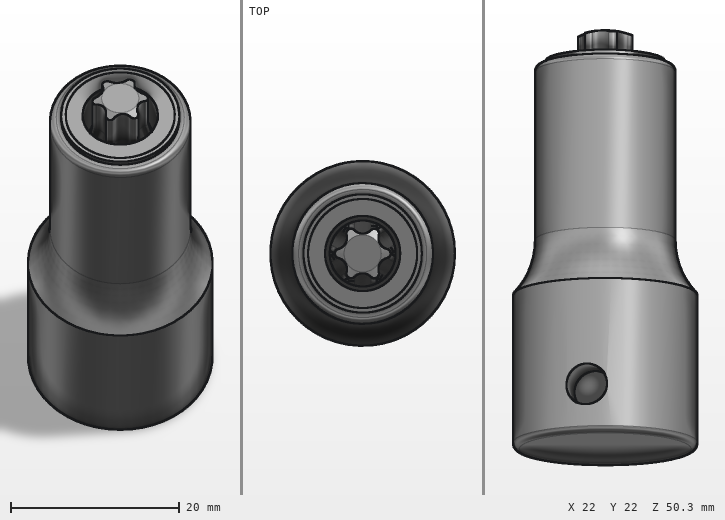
import cadquery as cq
import math

base_radius = 22.0 / 2
slim_radius = 16.75 / 2
base_top = 18.6
neck_top = 25.25
shoulder_height = 46.45
rim_fillet = 0.75

detent_radius = 2.45
detent_height = 5.85
detent_depth = 2 * detent_radius

sleeve_radius = 7.05
sleeve_bottom = neck_top
sleeve_top = 47.05

ring_radius = 6.5
ring_bore_radius = 4.5

total_height = 50.3
shank_radius = 3.9
lobe_count = 6
lobe_tip_radius = 3.3
flute_root_radius = 2.35
lobe_rounding = 0.55
tip_flat_radius = 2.2
tip_chamfer_height = 0.35
lobe_bottom = 45.25
runout_angle = 75.0
runout_slope = math.tan(math.radians(runout_angle))

recess_floor = lobe_bottom - (shank_radius - flute_root_radius) * runout_slope
lobe_flare_bottom = lobe_bottom - (shank_radius - lobe_tip_radius) * runout_slope

half_pitch = math.pi / lobe_count
lobe_center = lobe_tip_radius - lobe_rounding
flute_radius = (
    flute_root_radius**2
    + lobe_center**2
    - lobe_rounding**2
    - 2 * lobe_center * flute_root_radius * math.cos(half_pitch)
) / (2 * (lobe_center * math.cos(half_pitch) + lobe_rounding - flute_root_radius))
flute_center = flute_root_radius + flute_radius


def cylinder(radius, bottom, top):
    """Upright cylinder on the part's axis."""
    return cq.Workplane("XY", origin=(0, 0, bottom)).circle(radius).extrude(top - bottom)


def make_housing():
    neck_rise = neck_top - base_top
    neck_step = base_radius - slim_radius
    neck_radius = (neck_rise**2 + neck_step**2) / (2 * neck_step)
    half_sweep = math.asin(neck_rise / neck_radius) / 2
    neck_mid = (
        slim_radius + neck_radius * (1 - math.cos(half_sweep)),
        neck_top - neck_radius * math.sin(half_sweep),
    )
    body = (
        cq.Workplane("XZ")
        .lineTo(base_radius, 0)
        .lineTo(base_radius, base_top)
        .threePointArc(neck_mid, (slim_radius, neck_top))
        .lineTo(slim_radius, shoulder_height)
        .lineTo(0, shoulder_height)
        .close()
        .revolve(360, (0, 0), (0, 1))
        .faces("<Z or >Z")
        .edges()
        .fillet(rim_fillet)
    )
    bore = cylinder(sleeve_radius, sleeve_bottom, shoulder_height)
    detent_hole = (
        cq.Workplane("XZ", origin=(0, base_radius, 0))
        .center(0, detent_height)
        .circle(detent_radius)
        .extrude(detent_depth)
    )
    return body.cut(bore).cut(detent_hole)


def make_sleeve():
    body = cylinder(sleeve_radius, sleeve_bottom, sleeve_top)
    recess = cylinder(ring_radius, recess_floor, sleeve_top)
    shank_hole = cylinder(shank_radius, sleeve_bottom, recess_floor)
    return body.cut(recess).cut(shank_hole)


def make_ring():
    body = cylinder(ring_radius, recess_floor, sleeve_top)
    return body.cut(cylinder(ring_bore_radius, recess_floor, sleeve_top))


def flute_outline(height, outward):
    """Gap between the middles of two lobes, at one height and shifted outward along +X."""
    lobe_x = lobe_center * math.cos(half_pitch)
    lobe_y = lobe_center * math.sin(half_pitch)
    tip_x = lobe_tip_radius * math.cos(half_pitch)
    tip_y = lobe_tip_radius * math.sin(half_pitch)
    share = lobe_rounding / (lobe_rounding + flute_radius)
    joint_x = lobe_x + share * (flute_center - lobe_x)
    joint_y = lobe_y * (1 - share)
    joint_angle = math.atan2(joint_y - lobe_y, joint_x - lobe_x)
    middle_angle = (half_pitch + joint_angle) / 2
    middle_x = lobe_x + lobe_rounding * math.cos(middle_angle)
    middle_y = lobe_y + lobe_rounding * math.sin(middle_angle)
    outer_x = 2 * shank_radius * math.cos(half_pitch)
    outer_y = 2 * shank_radius * math.sin(half_pitch)
    return (
        cq.Workplane("XY", origin=(outward, 0, height))
        .moveTo(outer_x, -outer_y)
        .lineTo(tip_x, -tip_y)
        .threePointArc((middle_x, -middle_y), (joint_x, -joint_y))
        .threePointArc((flute_root_radius, 0), (joint_x, joint_y))
        .threePointArc((middle_x, middle_y), (tip_x, tip_y))
        .lineTo(outer_x, outer_y)
        .close()
    )


def make_flute_cutter():
    """Straight flute whose lower end runs outward along a slope."""
    straight = flute_outline(lobe_bottom, 0).extrude(total_height - lobe_bottom)
    runout_length = shank_radius - flute_root_radius
    lower_end = flute_outline(recess_floor, runout_length).val()
    upper_end = flute_outline(lobe_bottom, 0).val()
    runout = cq.Workplane(cq.Solid.makeLoft([lower_end, upper_end], True))
    return straight.union(runout)


def make_bit():
    bit = (
        cq.Workplane("XZ")
        .moveTo(0, sleeve_bottom)
        .lineTo(shank_radius, sleeve_bottom)
        .lineTo(shank_radius, lobe_flare_bottom)
        .lineTo(lobe_tip_radius, lobe_bottom)
        .lineTo(lobe_tip_radius, total_height - tip_chamfer_height)
        .lineTo(tip_flat_radius, total_height)
        .lineTo(0, total_height)
        .close()
        .revolve(360, (0, 0), (0, 1))
    )
    cutter = make_flute_cutter()
    pitch = 360 / lobe_count
    for index in range(lobe_count):
        bit = bit.cut(cutter.rotate((0, 0, 0), (0, 0, 1), (index + 0.5) * pitch))
    return bit


housing = make_housing()
sleeve = make_sleeve()
ring = make_ring()
bit = make_bit()
result = cq.Compound.makeCompound([body.solids().val() for body in (housing, sleeve, ring, bit)])